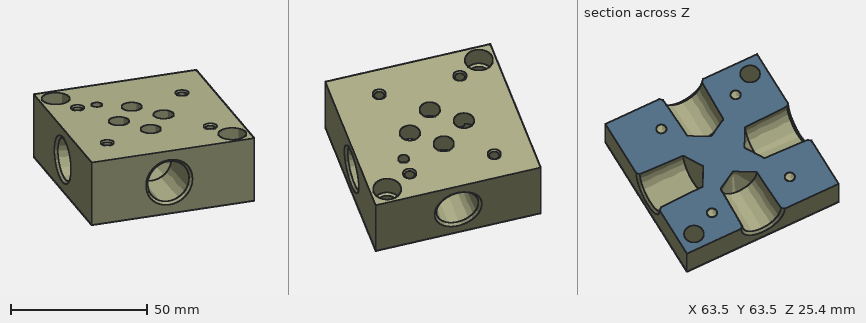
import cadquery as cq
import math

SIDE = 63.5
HEIGHT = 25.4
HALF_SIDE = SIDE / 2

MOUNT_OFFSET = 25.4
MOUNT_DIAMETER = 7.1
COUNTERBORE_DIAMETER = 10.3
COUNTERBORE_DEPTH = 7.6

DRILL_POINT_ANGLE = 120.0

PORT_MOUTH_DIAMETER = 18.15
PORT_BORE_DIAMETER = 16.1
PORT_END_DIAMETER = 15.0
PORT_CHAMFER_DEPTH = 1.0
PORT_DEPTH = 18.8
PORT_HEIGHT = HEIGHT / 2
SIDE_PORT_SHIFT = -1.45

PASSAGE_DIAMETER = 7.5
PASSAGE_DEPTH = 7.4
PASSAGE_CENTERS = [
    (1.0, 7.3),
    (1.0, -10.15),
    (-9.35, SIDE_PORT_SHIFT),
    (11.4, SIDE_PORT_SHIFT),
]

BOLT_DIAMETER = 3.7
BOLT_MOUTH_DIAMETER = 4.95
BOLT_DEPTH = 12.7
BOLT_CENTERS = [(-14.55, 20.0), (16.45, 20.0), (-15.25, -20.5), (17.3, -20.5)]

PIN_DIAMETER = 4.0
PIN_DEPTH = 4.0
PIN_CENTER = (-15.25, -12.95)


def drill_point_length(radius):
    return radius / math.tan(math.radians(DRILL_POINT_ANGLE / 2))


def pointed_hole(mouth_radius, bore_radius, end_radius, chamfer_depth, depth):
    """Cutter with its mouth at the origin, pointing down the Z axis."""
    tip = depth + drill_point_length(end_radius)
    profile = (
        cq.Workplane("XZ")
        .moveTo(0, 0)
        .lineTo(mouth_radius, 0)
        .lineTo(bore_radius, -chamfer_depth)
        .lineTo(end_radius, -depth)
        .lineTo(0, -tip)
        .close()
    )
    return profile.revolve(360, (0, 0, 0), (0, 1, 0))


def side_port(side_angle, shift):
    """Port cutter for the side at side_angle degrees from +X, slid along that side by (x, y)."""
    cutter = pointed_hole(
        PORT_MOUTH_DIAMETER / 2,
        PORT_BORE_DIAMETER / 2,
        PORT_END_DIAMETER / 2,
        PORT_CHAMFER_DEPTH,
        PORT_DEPTH,
    )
    facing_x = cutter.rotate((0, 0, 0), (0, 1, 0), 90).translate((HALF_SIDE, 0, PORT_HEIGHT))
    return facing_x.rotate((0, 0, 0), (0, 0, 1), side_angle).translate((*shift, 0))


def bolt_hole(center):
    mouth_radius = BOLT_MOUTH_DIAMETER / 2
    bore_radius = BOLT_DIAMETER / 2
    cutter = pointed_hole(
        mouth_radius, bore_radius, bore_radius, mouth_radius - bore_radius, BOLT_DEPTH
    )
    return cutter.translate((*center, HEIGHT))


def top_face(solid):
    return solid.faces(">Z").workplane(origin=(0, 0, HEIGHT))


block = cq.Workplane("XY").box(SIDE, SIDE, HEIGHT, centered=(True, True, False))

mount_centers = [(MOUNT_OFFSET, MOUNT_OFFSET), (-MOUNT_OFFSET, -MOUNT_OFFSET)]
block = top_face(block).pushPoints(mount_centers).cboreHole(
    MOUNT_DIAMETER, COUNTERBORE_DIAMETER, COUNTERBORE_DEPTH
)
block = top_face(block).pushPoints(PASSAGE_CENTERS).hole(PASSAGE_DIAMETER, PASSAGE_DEPTH)
block = top_face(block).pushPoints([PIN_CENTER]).hole(PIN_DIAMETER, PIN_DEPTH)
for bolt_center in BOLT_CENTERS:
    block = block.cut(bolt_hole(bolt_center))

x_side_shift = (0, SIDE_PORT_SHIFT)
y_side_shift = (0, 0)
for side_angle, shift in [
    (0, x_side_shift),
    (90, y_side_shift),
    (180, x_side_shift),
    (270, y_side_shift),
]:
    block = block.cut(side_port(side_angle, shift))

result = block